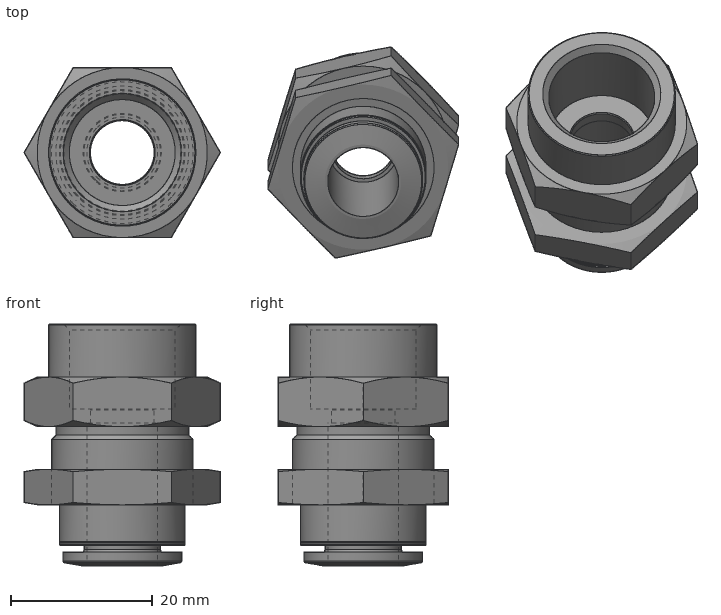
import cadquery as cq
import math

HEX_FLATS = 24.0
HEX_CORNER_RADIUS = HEX_FLATS / math.sqrt(3)

TOTAL_HEIGHT = 34.2
RING_TOP = 2.0
BARREL_BOTTOM = 2.9
NUT_BOTTOM = 8.67
NUT_HEIGHT = 5.0
HEX_HEIGHT = 7.0
COLLAR_HEIGHT = 7.5
HEX_TOP = TOTAL_HEIGHT - COLLAR_HEIGHT
HEX_BOTTOM = HEX_TOP - HEX_HEIGHT

BODY_HEX_BEVEL_ANGLE = 25.0
NUT_BEVEL_ANGLE = 10.0

COLLAR_RADIUS = 20.8 / 2
COLLAR_CHAMFER = 0.15
THREAD_RADIUS = 20.0 / 2
RELIEF_RADIUS = 18.77 / 2
RELIEF_LENGTH = 1.2
THREAD_CHAMFER = THREAD_RADIUS - RELIEF_RADIUS
RELIEF_BOTTOM = HEX_BOTTOM - RELIEF_LENGTH
THREAD_TOP = RELIEF_BOTTOM - THREAD_CHAMFER
BARREL_RADIUS = 17.77 / 2
BARREL_CHAMFER = 0.15
GROOVE_CENTRE = 3.4
GROOVE_WIDTH = 0.24
GROOVE_DEPTH = GROOVE_WIDTH / 2

RING_RADIUS = 16.8 / 2
RING_CHAMFER_WIDTH = 0.15
RING_CHAMFER_TOP = 0.75
RING_CONE_ANGLE = 10.0
NECK_RADIUS = 10.8 / 2
NECK_FLARE_HEIGHT = 0.35
NECK_FLARE_WIDTH = 0.12
RING_CONE_RADIUS = RING_RADIUS - RING_CHAMFER_WIDTH
RING_CONE_HEIGHT = (RING_CONE_RADIUS - NECK_RADIUS) * math.tan(math.radians(RING_CONE_ANGLE))

TUBE_RADIUS = 10.0 / 2
TUBE_STOP = 20.2
PASSAGE_RADIUS = 9.0 / 2
PASSAGE_CHAMFER = 0.15
PORT_RADIUS = 14.95 / 2
PORT_MOUTH_RADIUS = 16.66 / 2
PORT_DEPTH = 12.0
PORT_FLOOR = TOTAL_HEIGHT - PORT_DEPTH
PORT_CHAMFER = PORT_MOUTH_RADIUS - PORT_RADIUS


def revolve_about_z(profile):
    """Turn a closed radius/height profile fully about the Z axis."""
    return profile.close().revolve(360, (0, 0, 0), (0, 1, 0))


def bevelled_hexagon(bottom, height, bevel_angle):
    """Hexagon with corners along X, its corners bevelled by cones at both ends."""
    top = bottom + height
    flat_radius = HEX_FLATS / 2
    bevel_drop = (HEX_CORNER_RADIUS - flat_radius) * math.tan(math.radians(bevel_angle))
    prism = (
        cq.Workplane("XY")
        .workplane(offset=bottom)
        .polygon(6, 2 * HEX_CORNER_RADIUS)
        .extrude(height)
    )
    envelope = revolve_about_z(
        cq.Workplane("XZ")
        .moveTo(0, bottom)
        .lineTo(flat_radius, bottom)
        .lineTo(HEX_CORNER_RADIUS, bottom + bevel_drop)
        .lineTo(HEX_CORNER_RADIUS, top - bevel_drop)
        .lineTo(flat_radius, top)
        .lineTo(0, top)
    )
    return prism.intersect(envelope)


def release_ring():
    """Flanged ring with a chamfered, shallow conical end and a neck that joins the barrel."""
    return revolve_about_z(
        cq.Workplane("XZ")
        .moveTo(0, 0)
        .lineTo(NECK_RADIUS, 0)
        .lineTo(RING_CONE_RADIUS, RING_CONE_HEIGHT)
        .lineTo(RING_RADIUS, RING_CHAMFER_TOP)
        .lineTo(RING_RADIUS, RING_TOP)
        .lineTo(NECK_RADIUS + NECK_FLARE_WIDTH, RING_TOP)
        .lineTo(NECK_RADIUS, RING_TOP + NECK_FLARE_HEIGHT)
        .lineTo(NECK_RADIUS, BARREL_BOTTOM)
        .lineTo(0, BARREL_BOTTOM)
    )


def turned_body():
    """Barrel, threaded length, thread relief and collar as one turned shape."""
    return revolve_about_z(
        cq.Workplane("XZ")
        .moveTo(0, BARREL_BOTTOM)
        .lineTo(BARREL_RADIUS - BARREL_CHAMFER, BARREL_BOTTOM)
        .lineTo(BARREL_RADIUS, BARREL_BOTTOM + BARREL_CHAMFER)
        .lineTo(BARREL_RADIUS, GROOVE_CENTRE - GROOVE_WIDTH / 2)
        .lineTo(BARREL_RADIUS - GROOVE_DEPTH, GROOVE_CENTRE)
        .lineTo(BARREL_RADIUS, GROOVE_CENTRE + GROOVE_WIDTH / 2)
        .lineTo(BARREL_RADIUS, NUT_BOTTOM)
        .lineTo(THREAD_RADIUS, NUT_BOTTOM)
        .lineTo(THREAD_RADIUS, THREAD_TOP)
        .lineTo(RELIEF_RADIUS, RELIEF_BOTTOM)
        .lineTo(RELIEF_RADIUS, HEX_TOP)
        .lineTo(COLLAR_RADIUS, HEX_TOP)
        .lineTo(COLLAR_RADIUS, TOTAL_HEIGHT - COLLAR_CHAMFER)
        .lineTo(COLLAR_RADIUS - COLLAR_CHAMFER, TOTAL_HEIGHT)
        .lineTo(0, TOTAL_HEIGHT)
    )


def bore():
    """Tube socket, narrower passage and chamfered port, as one turned cutter."""
    return revolve_about_z(
        cq.Workplane("XZ")
        .moveTo(0, 0)
        .lineTo(TUBE_RADIUS, 0)
        .lineTo(TUBE_RADIUS, TUBE_STOP)
        .lineTo(PASSAGE_RADIUS, TUBE_STOP)
        .lineTo(PASSAGE_RADIUS, PORT_FLOOR - PASSAGE_CHAMFER)
        .lineTo(PASSAGE_RADIUS + PASSAGE_CHAMFER, PORT_FLOOR)
        .lineTo(PORT_RADIUS, PORT_FLOOR)
        .lineTo(PORT_RADIUS, TOTAL_HEIGHT - PORT_CHAMFER)
        .lineTo(PORT_MOUTH_RADIUS, TOTAL_HEIGHT)
        .lineTo(0, TOTAL_HEIGHT)
    )


def make_fitting():
    """Bulkhead fitting: turned body with its hexagon and release ring, bored through."""
    hexagon = bevelled_hexagon(HEX_BOTTOM, HEX_HEIGHT, BODY_HEX_BEVEL_ANGLE)
    return turned_body().union(hexagon).union(release_ring()).cut(bore())


def make_lock_nut():
    """Thin hexagon nut sitting on the lower end of the threaded length."""
    thread = (
        cq.Workplane("XY")
        .workplane(offset=NUT_BOTTOM)
        .circle(THREAD_RADIUS)
        .extrude(NUT_HEIGHT)
    )
    return bevelled_hexagon(NUT_BOTTOM, NUT_HEIGHT, NUT_BEVEL_ANGLE).cut(thread)


fitting = make_fitting()
lock_nut = make_lock_nut()
result = cq.Compound.makeCompound([fitting.solids().val(), lock_nut.solids().val()])